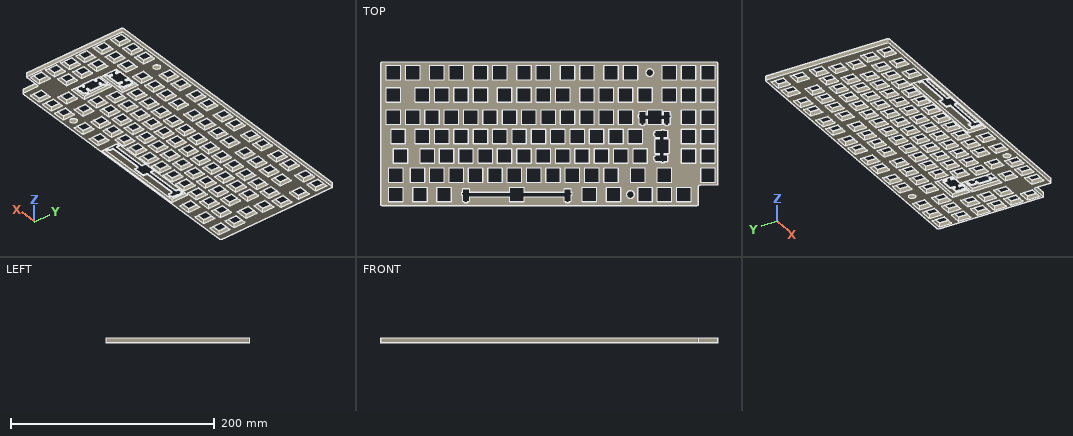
import cadquery as cq
PLATE_LENGTH = 332.0
PLATE_WIDTH = 141.5
PLATE_THICKNESS = 5.0
CORNER_RADIUS = 1.6
LEFT = -PLATE_LENGTH / 2
RIGHT = PLATE_LENGTH / 2
FRONT = -PLATE_WIDTH / 2
BACK = PLATE_WIDTH / 2

NOTCH_LENGTH = 19.2
NOTCH_WIDTH = 20.2
NOTCH_INNER_RADIUS = 1.6
NOTCH_OUTER_RADIUS = 0.2

KEY_UNIT = 19.05
SWITCH_SIZE = 14.0
FIRST_KEY_X = LEFT + 12.525
FIRST_KEY_Y = BACK - 10.525
UPPER_ROW_STEP = 21.9

ROW_Y = [FIRST_KEY_Y - i * UPPER_ROW_STEP for i in range(3)]
ROW_Y += [ROW_Y[2] - i * KEY_UNIT for i in range(1, 5)]

BACKSPACE_COLUMN = 13.5
SPACE_COLUMN = 6.375
ENTER_COLUMN = 13.875
ENTER_Y = (ROW_Y[3] + ROW_Y[4]) / 2
SHORT_STABILISER_OFFSET = 11.9
SPACE_STABILISER_OFFSET = 50.0

ROW_RUNS = [
    [(0, 2), (2.25, 2), (4.5, 2), (6.75, 2), (9, 2), (11.25, 2), (14.25, 3)],
    [(0, 1), (1.5, 4), (5.75, 4), (10, 4), (14.25, 3)],
    [(0, 13), (BACKSPACE_COLUMN, 1), (15.25, 2)],
    [(0.25, 1), (1.5, 12), (15.25, 2)],
    [(0.375, 1), (1.75, 12), (15.25, 2)],
    [(0.125, 1), (1.25, 11), (12.625, 1), (14, 1), (16.25, 1)],
    [(0.125, 1), (1.375, 1), (2.625, 1), (SPACE_COLUMN, 1), (10.125, 1), (11.375, 1), (13, 3)],
]

STABILISER_WIDTH = 6.65
STABILISER_TOP = 5.53
STABILISER_BOTTOM = -6.77
CLIP_WIDTH = 3.3
CLIP_BOTTOM = -7.97
SIDE_RELIEF_DEPTH = 0.85
SIDE_RELIEF_TOP = 2.2
SIDE_RELIEF_BOTTOM = -0.5
WIRE_SLOT_WIDTH = 4.6

THIN_THICKNESS = 1.1
SHORT_POCKET_END = 17.0
SPACE_POCKET_END = 55.0
POCKET_TOP = 10.5
POCKET_BOTTOM = -9.5

HOLE_DIAMETER = 7.4
BACK_HOLE_COLUMN = 13.25
FRONT_HOLE_COLUMN = 12.25


def column_x(column):
    return FIRST_KEY_X + column * KEY_UNIT


def block(x_min, x_max, y_min, y_max):
    """Box through the full plate thickness."""
    size_x = x_max - x_min
    size_y = y_max - y_min
    box = cq.Workplane("XY").box(size_x, size_y, PLATE_THICKNESS, centered=False)
    return box.translate((x_min, y_min, 0))


def make_plate():
    notch_x = RIGHT - NOTCH_LENGTH
    notch_y = FRONT + NOTCH_WIDTH
    plate = block(LEFT, RIGHT, FRONT, BACK).cut(block(notch_x, RIGHT, FRONT, notch_y))
    inner_corner = cq.selectors.NearestToPointSelector((notch_x, notch_y, PLATE_THICKNESS / 2))
    outer_corner = cq.selectors.NearestToPointSelector((RIGHT, notch_y, PLATE_THICKNESS / 2))
    vertical = cq.selectors.ParallelDirSelector(cq.Vector(0, 0, 1))
    plate = plate.edges(vertical - inner_corner - outer_corner).fillet(CORNER_RADIUS)
    plate = plate.edges(inner_corner).fillet(NOTCH_INNER_RADIUS)
    return plate.edges(outer_corner).fillet(NOTCH_OUTER_RADIUS)


def make_switch_cutouts():
    centres = [(column_x(ENTER_COLUMN), ENTER_Y)]
    for y, runs in zip(ROW_Y, ROW_RUNS):
        for first_column, count in runs:
            centres += [(column_x(first_column + i), y) for i in range(count)]
    squares = cq.Workplane("XY").pushPoints(centres).rect(SWITCH_SIZE, SWITCH_SIZE)
    return squares.extrude(PLATE_THICKNESS)


def make_stabiliser(offset, pocket_end):
    """Stabiliser pair, wire slot and underside pocket around a key centred at the origin."""
    half_width = STABILISER_WIDTH / 2
    half_clip = CLIP_WIDTH / 2
    half_slot = WIRE_SLOT_WIDTH / 2
    cutout = block(-offset, offset, -half_slot, half_slot)
    for side in (-1, 1):
        x = side * offset
        outer = x + side * (half_width + SIDE_RELIEF_DEPTH)
        cutout = cutout.union(block(x - half_width, x + half_width, STABILISER_BOTTOM, STABILISER_TOP))
        cutout = cutout.union(block(x - half_clip, x + half_clip, CLIP_BOTTOM, STABILISER_TOP))
        cutout = cutout.union(block(min(x, outer), max(x, outer), SIDE_RELIEF_BOTTOM, SIDE_RELIEF_TOP))
    pocket = block(-pocket_end, pocket_end, POCKET_BOTTOM, POCKET_TOP)
    return cutout.union(pocket.translate((0, 0, -THIN_THICKNESS)))


def make_stabilisers():
    short = make_stabiliser(SHORT_STABILISER_OFFSET, SHORT_POCKET_END)
    space = make_stabiliser(SPACE_STABILISER_OFFSET, SPACE_POCKET_END)
    upright = short.rotate((0, 0, 0), (0, 0, 1), -90)
    return [
        short.translate((column_x(BACKSPACE_COLUMN), ROW_Y[2], 0)),
        upright.translate((column_x(ENTER_COLUMN), ENTER_Y, 0)),
        space.translate((column_x(SPACE_COLUMN), ROW_Y[6], 0)),
    ]


def make_screw_holes():
    centres = [(column_x(BACK_HOLE_COLUMN), ROW_Y[0]), (column_x(FRONT_HOLE_COLUMN), ROW_Y[6])]
    return cq.Workplane("XY").pushPoints(centres).circle(HOLE_DIAMETER / 2).extrude(PLATE_THICKNESS)


result = make_plate().cut(make_switch_cutouts()).cut(make_screw_holes())
for stabiliser in make_stabilisers():
    result = result.cut(stabiliser)